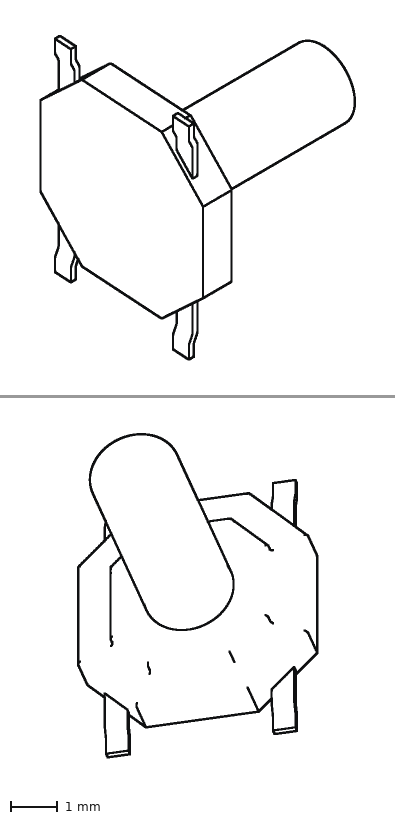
import cadquery as cq
import math


housing_size = 5.1
housing_corner_cut = 1.3
housing_height = 0.9
housing_rim_radius = 0.1

step_size = 3.5
step_corner_cut = 0.83
step_height = 0.3
step_rim_radius = 0.08
step_root_radius = 0.08

plunger_diameter = 2.0
plunger_tip_radius = 0.1
overall_height = 6.0

lead_width = 0.5
lead_thickness = 0.15
lead_spacing = 3.7
lead_span = 6.37
lead_lift = 0.11
lead_foot_length = 0.4
lead_bend_length = 0.235
lead_bend_radius = 0.2
lead_root_depth = 1.5

step_top = housing_height + step_height


def octagon(base_y, size, corner_cut, height):
    """Square block with four cut corners, rising along +Y from base_y."""
    return (
        cq.Workplane("XZ", origin=(0, base_y, 0))
        .rect(size, size)
        .extrude(-height)
        .edges("|Y")
        .chamfer(corner_cut)
    )


def make_housing():
    housing = octagon(0, housing_size, housing_corner_cut, housing_height)
    return housing.faces(">Y").edges().fillet(housing_rim_radius)


def make_step():
    step = octagon(housing_height, step_size, step_corner_cut, step_height)
    return step.faces(">Y").edges().fillet(step_rim_radius)


def fillet_step_root(body):
    """Round the inside corner where the step meets the housing."""
    reach = step_size / 2 + step_root_radius / 2
    margin = step_root_radius / 2
    root_edges = cq.selectors.BoxSelector(
        (-reach, housing_height - margin, -reach),
        (reach, housing_height + margin, reach),
    )
    return body.edges(root_edges).fillet(step_root_radius)


def make_plunger():
    plunger = (
        cq.Workplane("XZ", origin=(0, step_top, 0))
        .circle(plunger_diameter / 2)
        .extrude(step_top - overall_height)
    )
    return plunger.faces(">Y").edges().fillet(plunger_tip_radius)


def make_lead():
    """Joggled strip, centred on X = 0, with its tip pointing along +Z."""
    tip_z = lead_span / 2
    foot_z = tip_z - lead_foot_length
    bend_z = foot_z - lead_bend_length
    slope = math.atan2(lead_lift, lead_bend_length)
    mitre = lead_thickness * math.tan(slope / 2)
    profile = [
        (0, tip_z),
        (0, foot_z),
        (lead_lift, bend_z),
        (lead_lift, lead_root_depth),
        (lead_lift + lead_thickness, lead_root_depth),
        (lead_lift + lead_thickness, bend_z + mitre),
        (lead_thickness, foot_z + mitre),
        (lead_thickness, tip_z),
    ]
    strip = (
        cq.Workplane("YZ")
        .polyline(profile)
        .close()
        .extrude(lead_width / 2, both=True)
    )
    bend_corners = cq.selectors.BoxSelector(
        (-lead_width, -lead_thickness, bend_z - lead_thickness),
        (lead_width, lead_lift + 2 * lead_thickness, foot_z + lead_thickness),
    )
    return strip.edges("|X").edges(bend_corners).fillet(lead_bend_radius)


result = fillet_step_root(make_housing().union(make_step()))
result = result.union(make_plunger())

upper_lead = make_lead()
lower_lead = upper_lead.mirror("XY")
for side in (-1, 1):
    offset = (side * lead_spacing / 2, 0, 0)
    result = result.union(upper_lead.translate(offset))
    result = result.union(lower_lead.translate(offset))